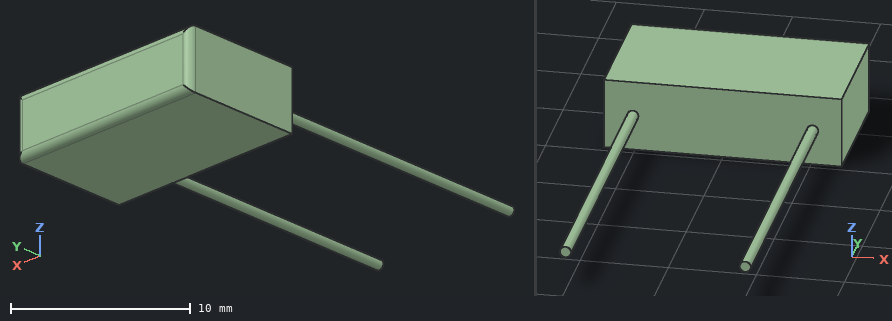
import cadquery as cq


case_length = 13.5
case_thickness = 4.11
case_round = 0.5

lead_diameter = 0.64
lead_pitch = 10.2
lead_length = 19.0

overall_length = 27.2
case_height = overall_length - lead_length


def make_case():
    """Box with all four edges rounded on the face opposite the leads."""
    box = cq.Workplane("XY").box(
        case_length, case_height, case_thickness, centered=(True, False, True)
    )
    return box.faces(">Y").edges().fillet(case_round)


def make_lead(x):
    """Round wire that butts against the lead face of the case, at mid thickness."""
    lead_face = cq.Workplane("XZ")
    return lead_face.center(x, 0).circle(lead_diameter / 2).extrude(lead_length)


case = make_case()
leads = [make_lead(side * lead_pitch / 2) for side in (-1, 1)]

result = cq.Compound.makeCompound([case.val(), *[lead.val() for lead in leads]])